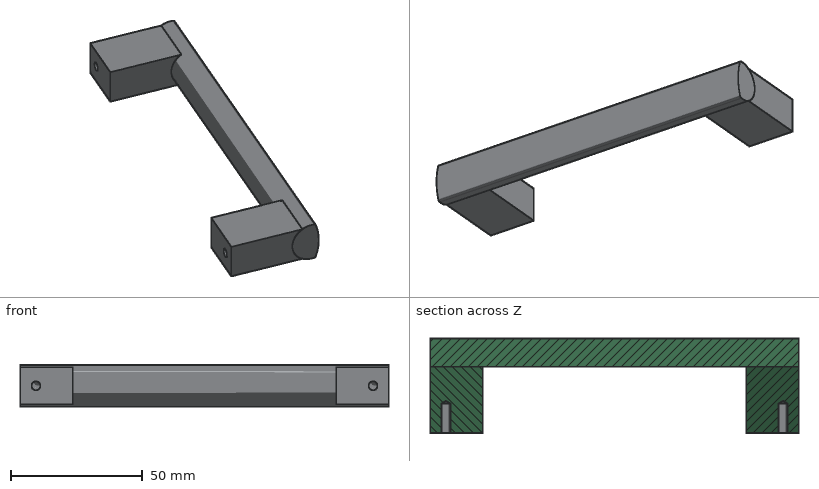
import cadquery as cq

length = 140.0
depth = 36.0
bar_height = 16.0

bar_radius = bar_height / 2
bar_depth = 10.9
crown_rise = 1.4
bar_back = depth
bar_axis = bar_back - bar_depth + bar_radius
crown_edge = bar_back - crown_rise
corner_height = (bar_radius**2 - (crown_edge - bar_axis) ** 2) ** 0.5
edge_radius = 1.0

post_width = 20.0
post_height = 14.0

hole_diameter = 3.4
hole_inset = 6.0
hole_depth = 11.2
hole_radius = hole_diameter / 2
tip_depth = 1.0


def make_bar():
    """Extrude the crowned section along X and round its two long edges."""
    return (
        cq.Workplane("YZ", origin=(-length / 2, 0, 0))
        .moveTo(crown_edge, -corner_height)
        .threePointArc((bar_back, 0), (crown_edge, corner_height))
        .threePointArc((bar_axis - bar_radius, 0), (crown_edge, -corner_height))
        .close()
        .extrude(length)
        .edges("|X")
        .fillet(edge_radius)
    )


def make_screw_hole(x):
    """Revolve the drilled hole about its axis, which runs along +Y at the given X."""
    return (
        cq.Workplane("XY", origin=(x, 0, 0))
        .polyline([(0, 0), (hole_radius, 0), (hole_radius, hole_depth), (0, hole_depth + tip_depth)])
        .close()
        .revolve(360, (0, 0), (0, 1))
    )


def make_post(side, bar):
    """Make the post at one end (side = -1 or 1), hollowed at its tip to seat the bar."""
    block = cq.Workplane("XY").box(post_width, bar_axis, post_height, centered=(True, False, True))
    block = block.translate((side * (length - post_width) / 2, 0, 0))
    return block.cut(bar).cut(make_screw_hole(side * (length / 2 - hole_inset)))


bar = make_bar()
posts = [make_post(side, bar) for side in (-1, 1)]

result = cq.Compound.makeCompound([bar.val(), *[post.val() for post in posts]])